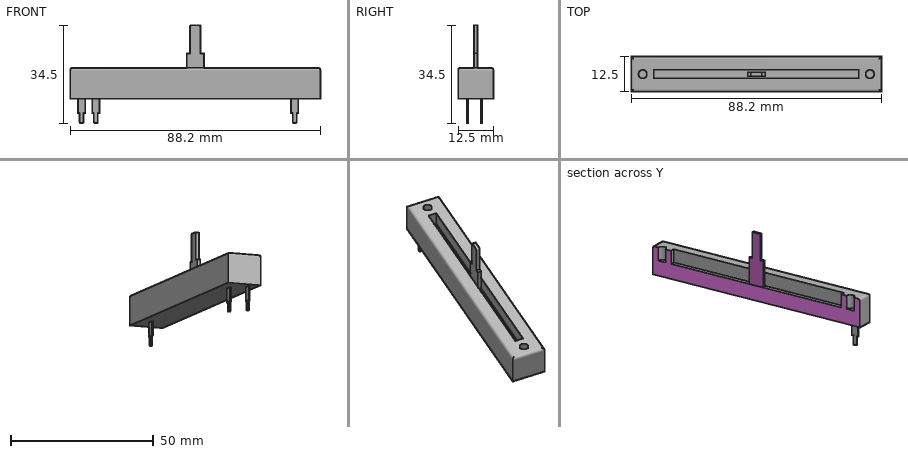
import cadquery as cq

housing_length = 88.2
housing_width = 12.5
housing_height = 10.9
housing_fillet = 1.0
slot_length = 72.15
slot_width = 3.0
slot_depth = 5.0
mount_hole_diameter = 3.0
mount_hole_spacing = 80.0
mount_hole_depth = 5.0

lever_thickness = 1.3
lever_base_width = 6.2
lever_tip_width = 3.8
lever_shoulder_height = 5.0
lever_height = 15.0
lever_tip_fillet = 0.5

terminal_thickness = 0.5
terminal_base_width = 2.65
terminal_tip_width = 1.5
terminal_shoulder_length = 5.0
terminal_length = 8.55
terminal_tip_fillet = 0.5
terminal_row_x = 35.0
terminal_pitch = 5.0
terminal_front_y = -3.0
terminal_back_y = terminal_front_y + terminal_pitch
terminal_positions = [
    (-terminal_row_x - terminal_pitch, terminal_front_y),
    (-terminal_row_x, terminal_back_y),
    (terminal_row_x, terminal_back_y),
]


def make_housing():
    """Block with rounded top edges, a long blind slot and two blind mounting holes."""
    block = cq.Workplane("XY").box(
        housing_length, housing_width, housing_height, centered=(True, True, False)
    )
    block = block.faces(">Z").edges().fillet(housing_fillet)
    top = cq.Workplane("XY").workplane(offset=housing_height)
    slot = top.rect(slot_length, slot_width).extrude(-slot_depth)
    hole_centers = [(-mount_hole_spacing / 2, 0), (mount_hole_spacing / 2, 0)]
    holes = top.pushPoints(hole_centers).circle(mount_hole_diameter / 2).extrude(-mount_hole_depth)
    return block.cut(slot).cut(holes)


def make_stepped_blade(base_width, tip_width, shoulder, length, thickness, tip_fillet):
    """Flat blade rising from Z = 0, stepped in at the shoulder, with rounded tip corners."""
    half_base = base_width / 2
    half_tip = tip_width / 2
    blade = (
        cq.Workplane("XZ")
        .moveTo(-half_base, 0)
        .lineTo(-half_base, shoulder)
        .lineTo(-half_tip, shoulder)
        .lineTo(-half_tip, length)
        .lineTo(half_tip, length)
        .lineTo(half_tip, shoulder)
        .lineTo(half_base, shoulder)
        .lineTo(half_base, 0)
        .close()
        .extrude(thickness / 2, both=True)
    )
    return blade.faces(">Z").edges("|Y").fillet(tip_fillet)


def make_lever():
    """Lever blade at mid-travel, from the slot floor to its tip."""
    blade = make_stepped_blade(
        lever_base_width,
        lever_tip_width,
        slot_depth + lever_shoulder_height,
        slot_depth + lever_height,
        lever_thickness,
        lever_tip_fillet,
    )
    return blade.translate((0, 0, housing_height - slot_depth))


def make_terminal(x, y):
    """Terminal pin pointing down from the housing underside."""
    blade = make_stepped_blade(
        terminal_base_width,
        terminal_tip_width,
        terminal_shoulder_length,
        terminal_length,
        terminal_thickness,
        terminal_tip_fillet,
    )
    return blade.mirror("XY").translate((x, y, 0))


housing = make_housing()
lever = make_lever()
terminals = [make_terminal(x, y) for x, y in terminal_positions]

result = cq.Compound.makeCompound(
    [housing.val(), lever.val(), *[terminal.val() for terminal in terminals]]
)